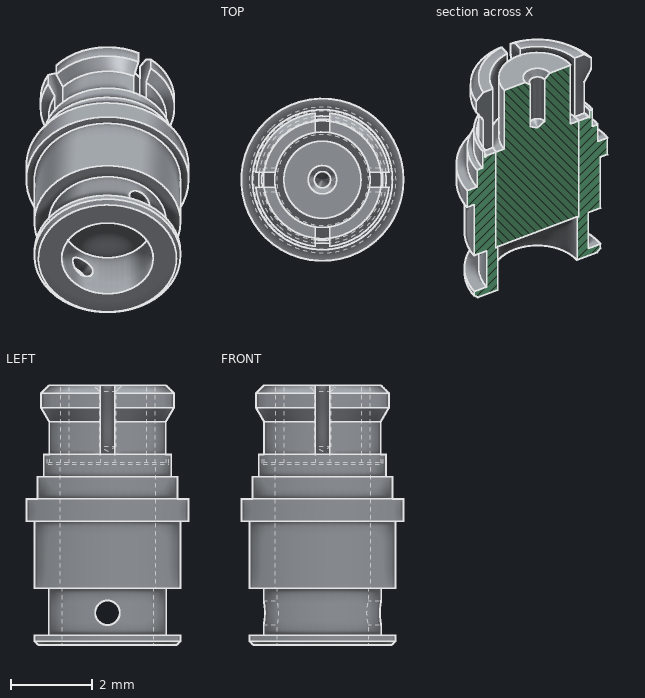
import cadquery as cq
import math

TOTAL_HEIGHT = 6.4
BASE_CHAMFER = 0.1
BASE_TOP = 0.25
BARREL_BOTTOM = 1.4
FLANGE_BOTTOM = 3.05
TIER_HEIGHT = 0.55
FLANGE_TOP = FLANGE_BOTTOM + TIER_HEIGHT
LOWER_TIER_TOP = FLANGE_TOP + TIER_HEIGHT
UPPER_TIER_TOP = LOWER_TIER_TOP + TIER_HEIGHT

BARREL_RADIUS = 1.8
NECK_RADIUS = 1.45
FLANGE_RADIUS = 2.0
LOWER_TIER_RADIUS = 1.725
UPPER_TIER_RADIUS = 1.57

RIM_RADIUS = 1.65
RIM_OVERHANG = RIM_RADIUS - NECK_RADIUS
RIM_CHAMFER = RIM_OVERHANG
RIM_LAND = 0.35
RIM_UNDERCUT_ANGLE = 60
RIM_LAND_TOP = TOTAL_HEIGHT - RIM_CHAMFER
RIM_LAND_BOTTOM = RIM_LAND_TOP - RIM_LAND
RIM_BOTTOM = RIM_LAND_BOTTOM - RIM_OVERHANG * math.tan(math.radians(RIM_UNDERCUT_ANGLE))

BORE_RADIUS = 1.175
TAIL_BORE_RADIUS = 1.125
SLOT_WIDTH = 0.36
SLOT_COUNT = 4
SLOT_FLOOR = UPPER_TIER_TOP - 0.2
RELIEF_RADIUS = 1.49
RELIEF_FLOOR = SLOT_FLOOR - (RELIEF_RADIUS - NECK_RADIUS)

CROSS_HOLE_DIAMETER = 0.6
CROSS_HOLE_HEIGHT = 0.8

POST_RADIUS = 0.95
SOCKET_RADIUS = 0.2
SOCKET_MOUTH_RADIUS = 0.35
SOCKET_MOUTH_DEPTH = SOCKET_MOUTH_RADIUS - SOCKET_RADIUS
SOCKET_DEPTH = 1.5
SOCKET_TIP_ANGLE = 118
SOCKET_BOTTOM = TOTAL_HEIGHT - SOCKET_DEPTH
SOCKET_TIP_DEPTH = SOCKET_RADIUS / math.tan(math.radians(SOCKET_TIP_ANGLE / 2))


def revolve_profile(points):
    """Turn a closed (radius, height) outline about the Z axis."""
    return cq.Workplane("XZ").polyline(points).close().revolve(360, (0, 0), (0, 1))


def make_turned_shell():
    """Stepped tube with an insulator seat and a relief groove around the fingers."""
    return revolve_profile([
        (TAIL_BORE_RADIUS, 0),
        (BARREL_RADIUS - BASE_CHAMFER, 0),
        (BARREL_RADIUS, BASE_CHAMFER),
        (BARREL_RADIUS, BASE_TOP),
        (NECK_RADIUS, BASE_TOP),
        (NECK_RADIUS, BARREL_BOTTOM),
        (BARREL_RADIUS, BARREL_BOTTOM),
        (BARREL_RADIUS, FLANGE_BOTTOM),
        (FLANGE_RADIUS, FLANGE_BOTTOM),
        (FLANGE_RADIUS, FLANGE_TOP),
        (LOWER_TIER_RADIUS, FLANGE_TOP),
        (LOWER_TIER_RADIUS, LOWER_TIER_TOP),
        (UPPER_TIER_RADIUS, LOWER_TIER_TOP),
        (UPPER_TIER_RADIUS, UPPER_TIER_TOP),
        (RELIEF_RADIUS, UPPER_TIER_TOP),
        (RELIEF_RADIUS, RELIEF_FLOOR),
        (NECK_RADIUS, SLOT_FLOOR),
        (NECK_RADIUS, RIM_BOTTOM),
        (RIM_RADIUS, RIM_LAND_BOTTOM),
        (RIM_RADIUS, RIM_LAND_TOP),
        (RIM_RADIUS - RIM_CHAMFER, TOTAL_HEIGHT),
        (BORE_RADIUS, TOTAL_HEIGHT),
        (BORE_RADIUS, BARREL_BOTTOM),
        (TAIL_BORE_RADIUS, BARREL_BOTTOM),
    ])


def make_finger_slots():
    """Radial cutters between the spring fingers, kept inside the relief groove wall below the tier top."""
    slot_height = TOTAL_HEIGHT - SLOT_FLOOR
    cutting_zone = (
        cq.Workplane("XY")
        .workplane(offset=SLOT_FLOOR)
        .circle(RELIEF_RADIUS)
        .extrude(UPPER_TIER_TOP - SLOT_FLOOR)
        .faces(">Z")
        .workplane()
        .circle(FLANGE_RADIUS)
        .extrude(TOTAL_HEIGHT - UPPER_TIER_TOP)
    )
    bars = cq.Workplane("XY")
    for index in range(SLOT_COUNT):
        bar = (
            cq.Workplane("XY")
            .box(FLANGE_RADIUS, SLOT_WIDTH, slot_height, centered=(False, True, False))
            .translate((0, 0, SLOT_FLOOR))
            .rotate((0, 0, 0), (0, 0, 1), index * 360 / SLOT_COUNT)
        )
        bars = bars.union(bar)
    return bars.intersect(cutting_zone)


def make_shell():
    cross_hole = (
        cq.Workplane("YZ")
        .center(0, CROSS_HOLE_HEIGHT)
        .circle(CROSS_HOLE_DIAMETER / 2)
        .extrude(FLANGE_RADIUS, both=True)
    )
    return make_turned_shell().cut(make_finger_slots()).cut(cross_hole)


def make_insulator():
    """Plug that fills the bore, with a free-standing post and a drilled socket."""
    return revolve_profile([
        (0, BARREL_BOTTOM),
        (BORE_RADIUS, BARREL_BOTTOM),
        (BORE_RADIUS, SLOT_FLOOR),
        (POST_RADIUS, SLOT_FLOOR),
        (POST_RADIUS, TOTAL_HEIGHT),
        (SOCKET_MOUTH_RADIUS, TOTAL_HEIGHT),
        (SOCKET_RADIUS, TOTAL_HEIGHT - SOCKET_MOUTH_DEPTH),
        (SOCKET_RADIUS, SOCKET_BOTTOM),
        (0, SOCKET_BOTTOM - SOCKET_TIP_DEPTH),
    ])


shell = make_shell()
insulator = make_insulator()

result = cq.Compound.makeCompound([shell.val(), insulator.val()])